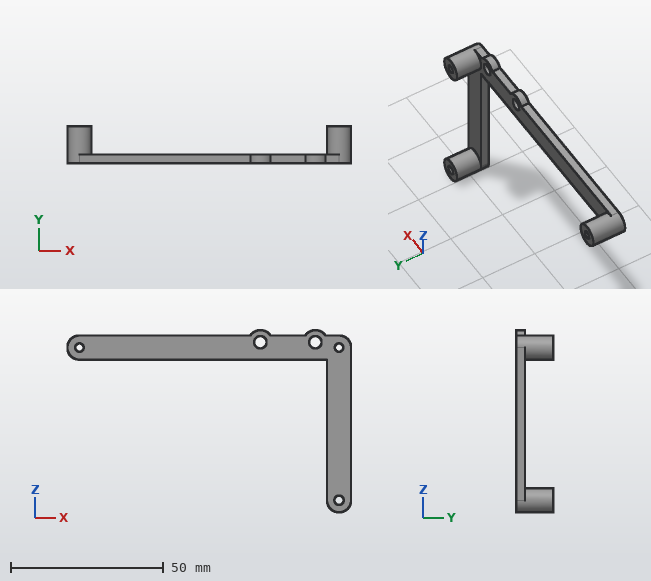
import cadquery as cq

post_diameter = 8.0
post_length = 12.25
plate_thickness = 3.0
arm_span = 85.0
leg_span = 50.0

arm_hole_diameter = 2.7
foot_hole_diameter = 3.0

lug_count = 2
lug_diameter = 8.0
lug_hole_diameter = 4.0
lug_rise = 1.75
first_lug_offset = 7.75
lug_spacing = 18.0

corner = (0, 0)
arm_end = (-arm_span, 0)
foot = (0, -leg_span)
lug_centers = [(-first_lug_offset - i * lug_spacing, lug_rise) for i in range(lug_count)]


def cylinder(center, diameter, length):
    """Cylinder along +Y from the front face, centred at (x, z)."""
    x, z = center
    base = cq.Workplane("XZ", origin=(x, 0, z))
    return base.circle(diameter / 2).extrude(-length)


def bar(start, end):
    """Flat bar one post diameter wide, joining two (x, z) axes."""
    width = abs(start[0] - end[0]) or post_diameter
    height = abs(start[1] - end[1]) or post_diameter
    middle = ((start[0] + end[0]) / 2, 0, (start[1] + end[1]) / 2)
    return cq.Workplane("XZ", origin=middle).rect(width, height).extrude(-plate_thickness)


body = bar(corner, arm_end).union(bar(corner, foot))
for center in (corner, arm_end, foot):
    body = body.union(cylinder(center, post_diameter, post_length))
for center in lug_centers:
    body = body.union(cylinder(center, lug_diameter, plate_thickness))

for center in (corner, arm_end):
    body = body.cut(cylinder(center, arm_hole_diameter, post_length))
body = body.cut(cylinder(foot, foot_hole_diameter, post_length))
for center in lug_centers:
    body = body.cut(cylinder(center, lug_hole_diameter, plate_thickness))

result = body